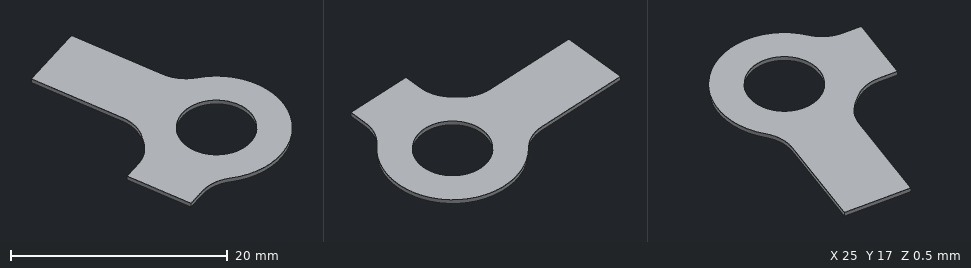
import cadquery as cq

thickness = 0.5
ring_diameter = 14.0
hole_diameter = 7.4
tab_width = 7.0
long_tab_reach = 18.0
short_tab_reach = 10.0
blend_radius = 4.0


def ring_blank():
    return cq.Workplane("XY").circle(ring_diameter / 2).extrude(thickness)


def long_tab():
    return (
        cq.Workplane("XY")
        .center(-long_tab_reach / 2, 0)
        .rect(long_tab_reach, tab_width)
        .extrude(thickness)
    )


def short_tab():
    return (
        cq.Workplane("XY")
        .center(0, -short_tab_reach / 2)
        .rect(tab_width, short_tab_reach)
        .extrude(thickness)
    )


half_width = tab_width / 2
rim_offset = ((ring_diameter / 2) ** 2 - half_width**2) ** 0.5
blend_corners = [
    (-rim_offset, half_width),
    (-rim_offset, -half_width),
    (-half_width, -rim_offset),
    (half_width, -rim_offset),
]

blank = ring_blank().union(long_tab()).union(short_tab())
for corner_x, corner_y in blend_corners:
    corner_edge = cq.selectors.NearestToPointSelector((corner_x, corner_y, thickness / 2))
    blank = blank.edges("|Z").edges(corner_edge).fillet(blend_radius)

hole = cq.Workplane("XY").circle(hole_diameter / 2).extrude(thickness)
result = blank.cut(hole)